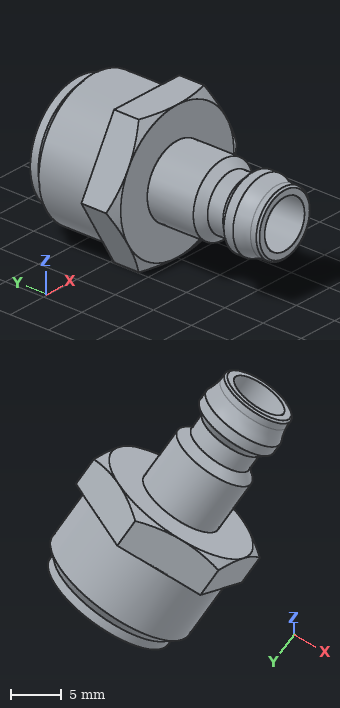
import cadquery as cq
import math

total_length = 27.0
collar_length = 1.05
collar_cone_length = 1.05
hex_length = 4.0
shaft_length = 6.02
groove_length = 2.0
groove_cone_length = 1.0
barrel_length = 1.2
nose_length = 1.84
tip_length = 1.0
tip_chamfer_length = 0.22

hex_across_flats = 17.0
body_diameter = 16.65
collar_diameter = 14.45
plug_diameter = 9.02
groove_diameter = 7.02
tip_diameter = 8.05
tip_face_diameter = 7.55
bore_diameter = 6.0

hex_chamfer_angle = 30.0
nose_mid_position = 0.5
nose_mid_diameter = 8.37

nose_start = tip_length
barrel_start = nose_start + nose_length
barrel_end = barrel_start + barrel_length
groove_start = barrel_end + groove_cone_length
groove_end = groove_start + groove_length
shaft_start = groove_end + groove_cone_length
hex_start = shaft_start + shaft_length
hex_end = hex_start + hex_length
collar_start = total_length - collar_length
body_end = collar_start - collar_cone_length

hex_across_corners = hex_across_flats / math.cos(math.radians(30))


def revolve_about_y(profile):
    return profile.close().revolve(360, (0, 0, 0), (0, 1, 0))


def turned_body():
    """Plug, shaft, threaded body and collar turned as one piece."""
    nose_mid = (nose_mid_diameter / 2, nose_start + nose_mid_position * nose_length)
    profile = (
        cq.Workplane("XY")
        .moveTo(0, 0)
        .lineTo(tip_face_diameter / 2, 0)
        .lineTo(tip_diameter / 2, tip_chamfer_length)
        .lineTo(tip_diameter / 2, nose_start)
        .threePointArc(nose_mid, (plug_diameter / 2, barrel_start))
        .lineTo(plug_diameter / 2, barrel_end)
        .lineTo(groove_diameter / 2, groove_start)
        .lineTo(groove_diameter / 2, groove_end)
        .lineTo(plug_diameter / 2, shaft_start)
        .lineTo(plug_diameter / 2, hex_end)
        .lineTo(body_diameter / 2, hex_end)
        .lineTo(body_diameter / 2, body_end)
        .lineTo(collar_diameter / 2, collar_start)
        .lineTo(collar_diameter / 2, total_length)
        .lineTo(0, total_length)
    )
    return revolve_about_y(profile)


def hex_flange():
    """Hexagon with corners on X, its plug-side corners trimmed by a cone."""
    prism = (
        cq.Workplane("XZ", origin=(0, hex_end, 0))
        .polygon(6, hex_across_corners)
        .extrude(hex_length)
    )
    face_radius = hex_across_flats / 2
    cone_radius = face_radius + hex_length / math.tan(math.radians(hex_chamfer_angle))
    cone = revolve_about_y(
        cq.Workplane("XY")
        .moveTo(0, hex_start)
        .lineTo(face_radius, hex_start)
        .lineTo(cone_radius, hex_end)
        .lineTo(0, hex_end)
    )
    return prism.intersect(cone)


bore = cq.Workplane("XZ").circle(bore_diameter / 2).extrude(-total_length)

result = turned_body().union(hex_flange()).cut(bore)